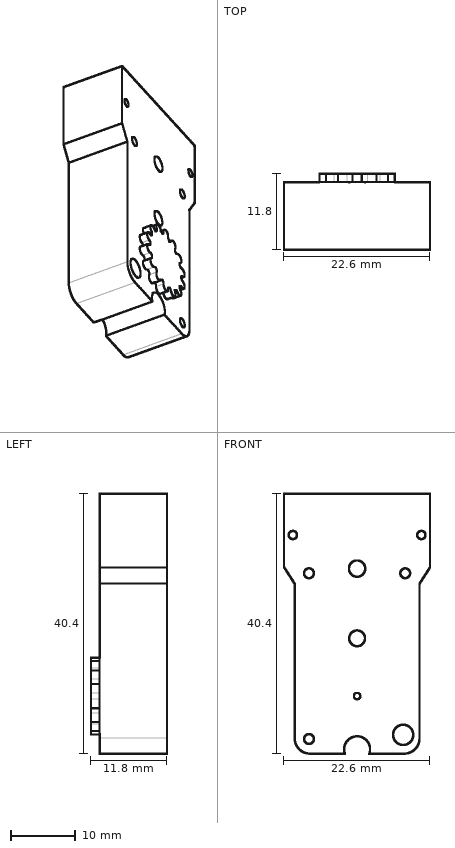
import cadquery as cq
import math

height = 40.35
head_width = 22.65
body_width = 19.4
total_depth = 11.8
housing_depth = 10.5

shoulder_top_z = 28.9
shoulder_bottom_z = 26.38
corner_radius = 2.4

head_hole_diameter = 1.25
head_hole_x = 9.95
head_hole_z = 33.9
screw_hole_diameter = 1.5
screw_hole_x = 7.45
upper_screw_z = 28.0
lower_screw_z = 2.3
upper_center_hole_diameter = 2.5
upper_center_hole_z = 28.7
lower_center_hole_diameter = 2.4
lower_center_hole_z = 17.9
corner_hole_diameter = 3.1
corner_hole_x = 7.15
corner_hole_z = 2.95
notch_diameter = 4.0
notch_top_z = 2.7
notch_z = notch_top_z - notch_diameter / 2

axle_hole_diameter = 1.0
wheel_z = 8.95
wheel_thickness = total_depth - housing_depth
wheel_diameter = 11.95
lobe_count = 14
lobe_radius = 0.73
lobe_circle_radius = wheel_diameter / 2 - lobe_radius


def make_housing():
    """Block with a wider head, rounded bottom corners and holes along Y."""
    half_head = head_width / 2
    half_body = body_width / 2
    outline = [
        (-half_body, 0),
        (half_body, 0),
        (half_body, shoulder_bottom_z),
        (half_head, shoulder_top_z),
        (half_head, height),
        (-half_head, height),
        (-half_head, shoulder_top_z),
        (-half_body, shoulder_bottom_z),
    ]
    block = cq.Workplane("XZ").polyline(outline).close().extrude(-housing_depth)
    block = block.faces("<Z").edges("|Y").fillet(corner_radius)

    holes = [
        (-head_hole_x, head_hole_z, head_hole_diameter),
        (head_hole_x, head_hole_z, head_hole_diameter),
        (-screw_hole_x, upper_screw_z, screw_hole_diameter),
        (screw_hole_x, upper_screw_z, screw_hole_diameter),
        (-screw_hole_x, lower_screw_z, screw_hole_diameter),
        (0, upper_center_hole_z, upper_center_hole_diameter),
        (0, lower_center_hole_z, lower_center_hole_diameter),
        (corner_hole_x, corner_hole_z, corner_hole_diameter),
        (0, wheel_z, axle_hole_diameter),
        (0, notch_z, notch_diameter),
    ]
    for x, z, diameter in holes:
        cutter = cq.Workplane("XZ").center(x, z).circle(diameter / 2).extrude(-housing_depth)
        block = block.cut(cutter)
    return block


def polar(radius, angle):
    """Point at a radius and an angle (in radians) about the wheel axis."""
    return (radius * math.cos(angle), radius * math.sin(angle))


def make_wheel():
    """Wheel whose rim alternates convex lobes and concave valleys, all tangent."""
    half_pitch = math.pi / lobe_count
    center_distance = 2 * lobe_circle_radius * math.sin(half_pitch / 2)
    valley_radius = center_distance - lobe_radius
    lobe_share = lobe_radius / center_distance
    lobe_tip_radius = lobe_circle_radius + lobe_radius
    valley_floor_radius = lobe_circle_radius - valley_radius

    def tangent_point(lobe_angle, valley_angle):
        lobe = polar(lobe_circle_radius, lobe_angle)
        valley = polar(lobe_circle_radius, valley_angle)
        return tuple(a + lobe_share * (b - a) for a, b in zip(lobe, valley))

    first_angle = math.pi / 2
    start = tangent_point(first_angle, first_angle - half_pitch)
    rim = cq.Workplane("XZ", origin=(0, housing_depth, wheel_z)).moveTo(*start)
    for i in range(lobe_count):
        lobe_angle = first_angle + 2 * i * half_pitch
        valley_angle = lobe_angle + half_pitch
        next_lobe_angle = valley_angle + half_pitch
        lobe_end = tangent_point(lobe_angle, valley_angle)
        valley_end = tangent_point(next_lobe_angle, valley_angle)
        rim = rim.threePointArc(polar(lobe_tip_radius, lobe_angle), lobe_end)
        rim = rim.threePointArc(polar(valley_floor_radius, valley_angle), valley_end)
    return rim.close().extrude(-wheel_thickness)


housing = make_housing()
wheel = make_wheel()

result = cq.Compound.makeCompound([housing.solids().val(), wheel.val()])